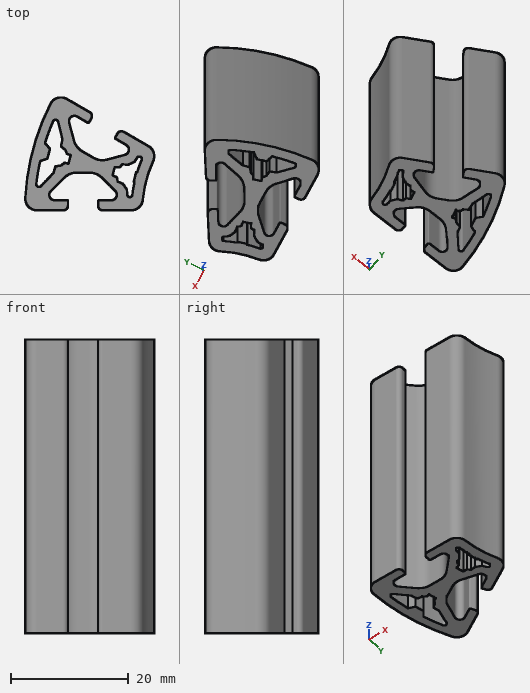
import cadquery as cq
import math

LENGTH = 50.0
OUTER_RADIUS = 40.0
INNER_RADIUS = 20.0
SECTOR_ANGLE = 30.0
HALF_ANGLE = SECTOR_ANGLE / 2
CORNER_RADIUS = 2.0
RIB_HALF_WIDTH = 0.85

SLOT_RADIUS = 30.1
SLOT_OPENING = 5.1
SLOT_DEPTH = 6.4
SLOT_FLOOR_WIDTH = 4.7
LIP_THICKNESS = 1.75
LIP_OUTER_ROUND = 0.8
LIP_INNER_ROUND = 0.2
SLOT_FLOOR_ROUND = 3.0
UNDERCUT_ROUND = 0.9

OUTER_WALL_THICKNESS = 1.7
OUTER_WALL_RADIUS = OUTER_RADIUS - OUTER_WALL_THICKNESS
OUTER_RIB_HEIGHT = 1.1
OUTER_RIB_RADIUS = OUTER_WALL_RADIUS - OUTER_RIB_HEIGHT
OUTER_RIB_BASE_HALF_WIDTH = 1.6
OUTER_TIP_HALF_WIDTH = 6.8
OUTER_TIP_ROUND = 0.45
OUTER_CHAMBER_STEPS = [(33.55, 0.75), (34.2, 0.75), (34.65, 1.35), (35.55, 1.75), (35.6, 2.95)]

INNER_WALL_THICKNESS = 1.9
INNER_WALL_RADIUS = INNER_RADIUS + INNER_WALL_THICKNESS
INNER_RIB_HEIGHT = 0.15
INNER_RIB_RADIUS = INNER_WALL_RADIUS + INNER_RIB_HEIGHT
INNER_TIP_HALF_WIDTH = 3.55
INNER_TIP_START = 3.2
INNER_CHAMBER_STEPS = [
    (25.75, 0.7), (24.95, 0.85), (24.65, 1.5), (23.7, 1.65), (22.75, 2.45), (22.5, INNER_TIP_START),
]


def on_circle(radius, y):
    """Point at height y on a circle about the origin."""
    return (math.sqrt(radius**2 - y**2), y)


def mirrored(points):
    """The same points below the X axis, in reverse order."""
    return [(x, -y) for x, y in reversed(points)]


def at_angle(radius, degrees):
    """Point at a polar radius and angle."""
    angle = math.radians(degrees)
    return (radius * math.cos(angle), radius * math.sin(angle))


def sector():
    """Solid ring sector with rounded corners."""
    return (
        cq.Workplane("XY")
        .moveTo(*at_angle(INNER_RADIUS, -HALF_ANGLE))
        .lineTo(*at_angle(OUTER_RADIUS, -HALF_ANGLE))
        .threePointArc((OUTER_RADIUS, 0), at_angle(OUTER_RADIUS, HALF_ANGLE))
        .lineTo(*at_angle(INNER_RADIUS, HALF_ANGLE))
        .threePointArc((INNER_RADIUS, 0), at_angle(INNER_RADIUS, -HALF_ANGLE))
        .close()
        .extrude(LENGTH)
        .edges("|Z")
        .fillet(CORNER_RADIUS)
    )


def lower_slot():
    """T-slot cutter opening downward on the lower straight side; its walls slope at 45 degrees."""
    undercut_width = SLOT_FLOOR_WIDTH + 2 * (SLOT_DEPTH - LIP_THICKNESS)
    cavity = (
        cq.Workplane("XY")
        .polyline([
            (-undercut_width / 2, LIP_THICKNESS),
            (undercut_width / 2, LIP_THICKNESS),
            (SLOT_FLOOR_WIDTH / 2, SLOT_DEPTH),
            (-SLOT_FLOOR_WIDTH / 2, SLOT_DEPTH),
        ])
        .close()
        .extrude(LENGTH)
    )
    cavity = cavity.edges("|Z and >Y").fillet(SLOT_FLOOR_ROUND)
    cavity = cavity.edges("|Z and <Y").fillet(UNDERCUT_ROUND)
    opening = cq.Workplane("XY").rect(SLOT_OPENING, SLOT_DEPTH).extrude(LENGTH)
    return (
        cavity.union(opening)
        .translate((SLOT_RADIUS, 0, 0))
        .rotate((0, 0, 0), (0, 0, 1), -HALF_ANGLE)
    )


def round_lips(body):
    """Round both corners of the four lip ends."""
    for side in (-1, 1):
        for end in (-1, 1):
            for depth, radius in ((0, LIP_OUTER_ROUND), (LIP_THICKNESS, LIP_INNER_ROUND)):
                along = SLOT_RADIUS + end * SLOT_OPENING / 2
                x, y = at_angle(along, HALF_ANGLE)
                x += depth * math.sin(math.radians(HALF_ANGLE))
                y -= depth * math.cos(math.radians(HALF_ANGLE))
                corner = cq.NearestToPointSelector((x, side * y, LENGTH / 2))
                body = body.edges("|Z").edges(corner).fillet(radius)
    return body


def outer_chamber():
    """Cutter for the larger chamber; a rib stands on the middle of its curved wall."""
    rib_corner = on_circle(OUTER_RIB_RADIUS, RIB_HALF_WIDTH)
    rib_base = on_circle(OUTER_WALL_RADIUS, OUTER_RIB_BASE_HALF_WIDTH)
    tip = on_circle(OUTER_WALL_RADIUS, OUTER_TIP_HALF_WIDTH)
    middle_y = (OUTER_RIB_BASE_HALF_WIDTH + OUTER_TIP_HALF_WIDTH) / 2
    wall_middle = on_circle(OUTER_WALL_RADIUS, middle_y)
    lower_tip, lower_middle, lower_base, lower_corner = mirrored(
        [rib_corner, rib_base, wall_middle, tip]
    )
    return (
        cq.Workplane("XY")
        .polyline([lower_tip] + mirrored(OUTER_CHAMBER_STEPS) + OUTER_CHAMBER_STEPS + [tip])
        .threePointArc(wall_middle, rib_base)
        .lineTo(*rib_corner)
        .threePointArc((OUTER_RIB_RADIUS, 0), lower_corner)
        .lineTo(*lower_base)
        .threePointArc(lower_middle, lower_tip)
        .close()
        .extrude(LENGTH)
        .edges("|Z and (>Y or <Y)")
        .fillet(OUTER_TIP_ROUND)
    )


def inner_chamber():
    """Cutter for the smaller chamber; a shallow rib stands on the middle of its curved wall."""
    wall_end = on_circle(INNER_WALL_RADIUS, INNER_TIP_START)
    tip = ((wall_end[0] + INNER_CHAMBER_STEPS[-1][0]) / 2, INNER_TIP_HALF_WIDTH)
    wall_middle = on_circle(INNER_WALL_RADIUS, (RIB_HALF_WIDTH + INNER_TIP_START) / 2)
    rib_base = on_circle(INNER_WALL_RADIUS, RIB_HALF_WIDTH)
    rib_corner = on_circle(INNER_RIB_RADIUS, RIB_HALF_WIDTH)
    lower_corner, lower_base, lower_middle, lower_wall_end, lower_tip = mirrored(
        [tip, wall_end, wall_middle, rib_base, rib_corner]
    )
    lower_steps = mirrored(INNER_CHAMBER_STEPS)
    return (
        cq.Workplane("XY")
        .polyline(lower_steps + INNER_CHAMBER_STEPS)
        .threePointArc(tip, wall_end)
        .threePointArc(wall_middle, rib_base)
        .lineTo(*rib_corner)
        .threePointArc((INNER_RIB_RADIUS, 0), lower_corner)
        .lineTo(*lower_base)
        .threePointArc(lower_middle, lower_wall_end)
        .threePointArc(lower_tip, lower_steps[0])
        .close()
        .extrude(LENGTH)
    )


slot = lower_slot()
profile = sector().cut(slot).cut(slot.mirror("XZ"))
profile = round_lips(profile).cut(outer_chamber()).cut(inner_chamber())

result = profile.rotate((0, 0, 0), (0, 0, 1), 180 - HALF_ANGLE)